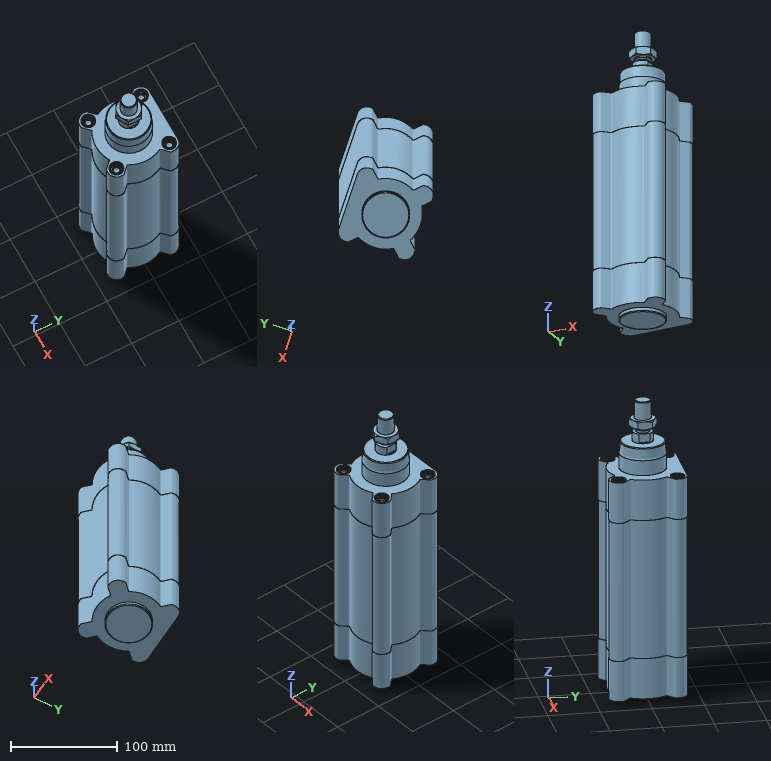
import cadquery as cq
import math

rear_cap_bottom = 4.0
cap_length = 40.7
front_cap_top = 224.8
collar_shoulder_start = 239.8
collar_shoulder_end = 241.5
collar_top = 252.0
shank_top = 261.5
thread_start = 263.8
nut_bottom = 266.7
nut_height = 8.2
rod_top = 293.0

half_width = 37.5
barrel_radius = 34.5
corner_radius = 9.5
rib_half_width = 8.8
cap_lip_radius = 2.0
cap_root_radius = 1.0
tube_inset = 0.15
tube_lip_radius = 3.2
tube_root_radius = 1.8
cut_overrun = 3.0

collar_diameter = 45.0
cone_base_diameter = 44.0
cone_top_diameter = 43.5
edge_chamfer = 1.0

hole_offset = half_width - corner_radius
hole_steps = [(13.8, 0.5), (12.0, 1.5), (10.3, 2.3), (8.0, 3.5), (6.7, 6.0)]
drill_tip_angle = 118

rod_diameter = 16.0
neck_diameter = 13.2
shank_diameter = 20.0
shank_flats = 17.0
shank_foot_height = 1.0
nut_across_flats = 24.0
nut_chamfer_angle = 30


def revolved(profile):
    """Revolve a closed (radius, height) outline about the Z axis."""
    return cq.Workplane("XZ").polyline(profile).close().revolve(360, (0, 0), (0, 1))


def side_recess(side, radius, rib_half, height, root_radius):
    """Material removed on the +X side, between two diagonal ribs and outside the round barrel."""
    lip = side - math.sqrt(2) * rib_half
    root_along = math.sqrt(radius**2 - rib_half**2)
    root_x = (root_along + rib_half) / math.sqrt(2)
    root_y = (root_along - rib_half) / math.sqrt(2)
    recess = (
        cq.Workplane("XY")
        .moveTo(side + cut_overrun, -lip)
        .lineTo(side, -lip)
        .lineTo(root_x, -root_y)
        .threePointArc((radius, 0), (root_x, root_y))
        .lineTo(side, lip)
        .lineTo(side + cut_overrun, lip)
        .close()
        .extrude(height)
    )
    return recess.edges("|Z").edges("<X").fillet(root_radius)


def round_lips(block, side, lip, height, lip_radius):
    """Round the edges where the rib walls meet the -X, +X and -Y sides."""
    middle = height / 2
    corners = [(x, y) for x in (-side, side) for y in (-lip, lip)]
    corners += [(x, -side) for x in (-lip, lip)]
    for x, y in corners:
        nearest = cq.selectors.NearestToPointSelector((x, y, middle))
        block = block.edges(nearest).fillet(lip_radius)
    return block


def housing_length(bottom, top, inset, lip_radius, root_radius):
    """Round barrel with four corner ribs, open on three sides and flat on +Y."""
    side = half_width - inset
    rib_half = rib_half_width - inset
    height = top - bottom
    block = cq.Workplane("XY").rect(2 * side, 2 * side).extrude(height)
    block = block.edges("|Z").fillet(corner_radius)
    recess = side_recess(side, barrel_radius - inset, rib_half, height, root_radius)
    for angle in (0, 180, 270):
        block = block.cut(recess.rotate((0, 0, 0), (0, 0, 1), angle))
    block = round_lips(block, side, side - math.sqrt(2) * rib_half, height, lip_radius)
    return block.translate((0, 0, bottom))


def rear_collar():
    radius = collar_diameter / 2
    return revolved([
        (0, 0),
        (radius - edge_chamfer, 0),
        (radius, edge_chamfer),
        (radius, rear_cap_bottom),
        (0, rear_cap_bottom),
    ])


def front_collar():
    """Cylinder that steps in at a sloping shoulder to a slightly tapered nose."""
    radius = collar_diameter / 2
    nose_radius = cone_top_diameter / 2
    return revolved([
        (0, front_cap_top),
        (radius, front_cap_top),
        (radius, collar_shoulder_start),
        (cone_base_diameter / 2, collar_shoulder_end),
        (nose_radius, collar_top - edge_chamfer),
        (nose_radius - edge_chamfer, collar_top),
        (0, collar_top),
    ])


def fixing_hole():
    """Stepped blind hole with a drill tip, opening at height zero."""
    profile = [(0, 0)]
    step_start = 0
    for diameter, floor in hole_steps:
        profile.append((diameter / 2, -step_start))
        profile.append((diameter / 2, -floor))
        step_start = floor
    drill_radius = hole_steps[-1][0] / 2
    tip_length = drill_radius / math.tan(math.radians(drill_tip_angle / 2))
    profile.append((0, -step_start - tip_length))
    return revolved(profile)


def make_housing():
    tube_bottom = rear_cap_bottom + cap_length
    tube_top = front_cap_top - cap_length
    housing = housing_length(rear_cap_bottom, tube_bottom, 0, cap_lip_radius, cap_root_radius)
    housing = housing.union(
        housing_length(tube_bottom, tube_top, tube_inset, tube_lip_radius, tube_root_radius)
    )
    housing = housing.union(housing_length(tube_top, front_cap_top, 0, cap_lip_radius, cap_root_radius))
    housing = housing.union(rear_collar()).union(front_collar())
    for x in (-hole_offset, hole_offset):
        for y in (-hole_offset, hole_offset):
            housing = housing.cut(fixing_hole().translate((x, y, front_cap_top)))
    return housing


def make_rod():
    """Rod standing on the front collar: shank with two wrench flats, neck and threaded end."""
    rod_radius = rod_diameter / 2
    neck_radius = neck_diameter / 2
    shank_radius = shank_diameter / 2
    rod = revolved([
        (0, collar_top),
        (shank_radius, collar_top),
        (shank_radius, shank_top),
        (neck_radius, shank_top),
        (neck_radius, thread_start),
        (rod_radius, thread_start + rod_radius - neck_radius),
        (rod_radius, rod_top - edge_chamfer),
        (rod_radius - edge_chamfer, rod_top),
        (0, rod_top),
    ])
    flats_bottom = collar_top + shank_foot_height
    flats_height = shank_top - flats_bottom
    flats = (
        cq.Workplane("XY", origin=(0, 0, flats_bottom))
        .rect(2 * shank_diameter, 2 * shank_diameter)
        .rect(shank_flats, shank_diameter)
        .extrude(flats_height)
    )
    return rod.cut(flats)


def make_nut():
    """Hexagon nut with its corners along Y, chamfered top and bottom and bored to fit the rod."""
    hex_corner_radius = nut_across_flats / math.sqrt(3)
    bore_radius = rod_diameter / 2
    flat_radius = nut_across_flats / 2
    chamfer_drop = (hex_corner_radius - flat_radius) * math.tan(math.radians(nut_chamfer_angle))
    nut_top = nut_bottom + nut_height
    hexagon = (
        cq.Workplane("XY", origin=(0, 0, nut_bottom))
        .polygon(6, 2 * hex_corner_radius)
        .extrude(nut_height)
        .rotate((0, 0, 0), (0, 0, 1), 90)
    )
    chamfer_envelope = revolved([
        (bore_radius, nut_bottom),
        (flat_radius, nut_bottom),
        (hex_corner_radius, nut_bottom + chamfer_drop),
        (hex_corner_radius, nut_top - chamfer_drop),
        (flat_radius, nut_top),
        (bore_radius, nut_top),
    ])
    return hexagon.intersect(chamfer_envelope)


housing = make_housing()
rod = make_rod()
nut = make_nut()
result = cq.Compound.makeCompound([housing.val(), rod.val(), nut.val()])